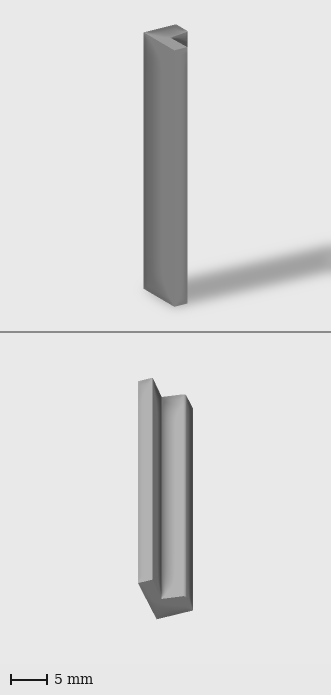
import cadquery as cq

length = 38.1
total_width = 7.65
block_depth = 5.3

block_front_width = 3.92
block_back_width = 3.1
corner_radius = 0.45

strip_depth = 2.15
strip_inner_depth = 2.02


def taper_x(y):
    """X position of the block's tapered face at depth y."""
    return block_front_width + (block_back_width - block_front_width) * y / block_depth


def make_block():
    """Full-length block with a tapered +X face."""
    outline = [
        (0, 0),
        (block_front_width, 0),
        (block_back_width, block_depth),
        (0, block_depth),
    ]
    block = cq.Workplane("XY").polyline(outline).close().extrude(length)
    return block.edges("|Z").edges(">Y").edges(">X").fillet(corner_radius)


def make_strip():
    """Full-length strip whose back face dips slightly toward the block."""
    outline = [
        (block_front_width, 0),
        (total_width, 0),
        (total_width, strip_depth),
        (taper_x(strip_inner_depth), strip_inner_depth),
    ]
    return cq.Workplane("XY").polyline(outline).close().extrude(length)


block = make_block()
strip = make_strip()

result = cq.Compound.makeCompound([block.val(), strip.val()])